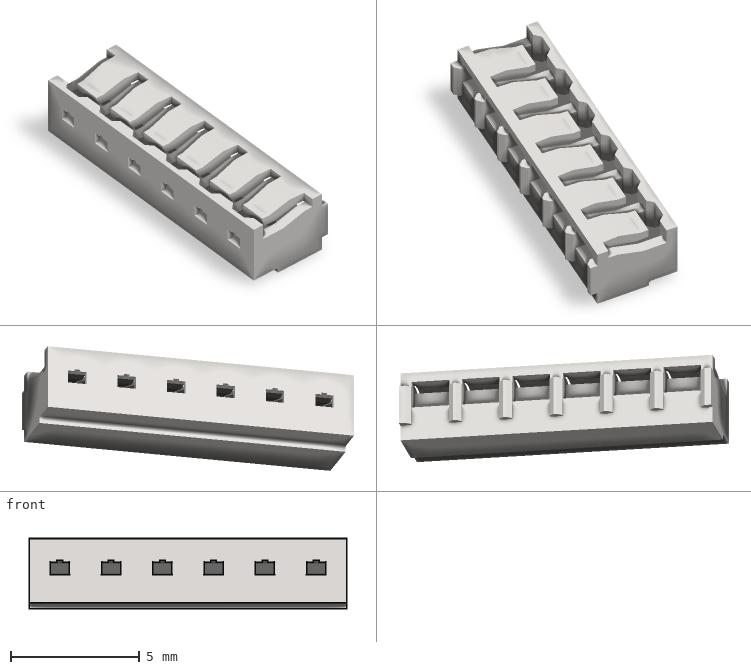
import cadquery as cq


LENGTH = 12.4
POSITIONS = 6
END_MARGIN = 0.2
PITCH = (LENGTH - 2 * END_MARGIN) / POSITIONS
RIB_WIDTH = 0.51
CAVITY_WIDTH = PITCH - RIB_WIDTH

HEIGHT = 2.75
BODY_DEPTH = 3.48
TOTAL_DEPTH = 3.8
FOOT_FRONT = 1.24
FOOT_HEIGHT = 0.24
FOOT_FILLET = 0.11

FRONT_WALL = 0.48
RECESS_BACK = 3.0
RIB_LOW = 2.06
RIB_HIGH = 2.37
RIB_SLOPE_FRONT = 1.5
RIB_SLOPE_BACK = 2.63

CAVITY_FLOOR = 1.33
BLOCK_FRONT = 1.76
BLOCK_BACK = 2.8
BLOCK_FRONT_TOP = 1.82
BLOCK_BACK_TOP = 2.11
BLOCK_FILLET = 0.04

SCALLOP_FRONT = 0.22
SCALLOP_WIDTH = 1.23
WINDOW_WIDTH = 0.75
WINDOW_HEIGHT = 0.5
NOTCH_WIDTH = 0.22
NOTCH_HEIGHT = 0.07

TONGUE_TIP = 0.97
TONGUE_TIP_TOP = 2.44
TONGUE_SLOPE_FRONT = 1.29
TONGUE_SLOPE_BACK = 2.3
TONGUE_ROOT_WIDTH = 1.38
TONGUE_TIP_WIDTH = 1.17

SEPARATOR_BOTTOM = 0.61
SEPARATOR_TOP = 2.13
SEPARATOR_CHAMFER = 0.2

position_centres = [(i - (POSITIONS - 1) / 2) * PITCH for i in range(POSITIONS)]
inner_rib_centres = [(i - POSITIONS / 2) * PITCH for i in range(1, POSITIONS)]


def side_prism(points, width, x_centre=0):
    """Extrude a (Y, Z) outline along X, symmetrically about x_centre."""
    outline = cq.Workplane("YZ", origin=(x_centre, 0, 0)).polyline(points).close()
    return outline.extrude(width / 2, both=True)


def plan_prism(points, bottom, top):
    """Extrude an (X, Y) outline between two heights."""
    return cq.Workplane("XY").workplane(offset=bottom).polyline(points).close().extrude(top - bottom)


def housing():
    outline = (
        cq.Workplane("YZ", origin=(-LENGTH / 2, 0, 0))
        .moveTo(0, FOOT_HEIGHT)
        .lineTo(FOOT_FRONT - FOOT_FILLET, FOOT_HEIGHT)
        .radiusArc((FOOT_FRONT, FOOT_HEIGHT - FOOT_FILLET), FOOT_FILLET)
        .lineTo(FOOT_FRONT, 0)
        .lineTo(BODY_DEPTH, 0)
        .lineTo(BODY_DEPTH, HEIGHT)
        .lineTo(0, HEIGHT)
        .close()
    )
    return outline.extrude(LENGTH)


def top_recess():
    points = [
        (FRONT_WALL, RIB_LOW),
        (RIB_SLOPE_FRONT, RIB_LOW),
        (RIB_SLOPE_BACK, RIB_HIGH),
        (RECESS_BACK, RIB_HIGH),
        (RECESS_BACK, HEIGHT),
        (FRONT_WALL, HEIGHT),
    ]
    return side_prism(points, LENGTH)


def separator(x):
    """Pointed rib on the back face."""
    chamfer_start = TOTAL_DEPTH - SEPARATOR_CHAMFER
    half = RIB_WIDTH / 2
    tip_half = half - SEPARATOR_CHAMFER
    points = [
        (x - half, BODY_DEPTH),
        (x - half, chamfer_start),
        (x - tip_half, TOTAL_DEPTH),
        (x + tip_half, TOTAL_DEPTH),
        (x + half, chamfer_start),
        (x + half, BODY_DEPTH),
    ]
    return plan_prism(points, SEPARATOR_BOTTOM, SEPARATOR_TOP)


def end_separator(side):
    """Half separator at one end (side is -1 or 1), square and flush on its outer face."""
    rib_x = side * (LENGTH / 2 - END_MARGIN)
    half = RIB_WIDTH / 2
    points = [
        (side * LENGTH / 2, BODY_DEPTH),
        (side * LENGTH / 2, TOTAL_DEPTH),
        (rib_x - side * (half - SEPARATOR_CHAMFER), TOTAL_DEPTH),
        (rib_x - side * half, TOTAL_DEPTH - SEPARATOR_CHAMFER),
        (rib_x - side * half, BODY_DEPTH),
    ]
    return plan_prism(points, SEPARATOR_BOTTOM, SEPARATOR_TOP)


def scallop(x):
    points = [
        (x - SCALLOP_WIDTH / 2, FRONT_WALL),
        (x - WINDOW_WIDTH / 2, SCALLOP_FRONT),
        (x + WINDOW_WIDTH / 2, SCALLOP_FRONT),
        (x + SCALLOP_WIDTH / 2, FRONT_WALL),
    ]
    return plan_prism(points, CAVITY_FLOOR, HEIGHT)


def window(x):
    """Rectangular opening through the front wall, with a small notch in its top edge."""
    top = CAVITY_FLOOR + WINDOW_HEIGHT
    points = [
        (x - WINDOW_WIDTH / 2, CAVITY_FLOOR),
        (x + WINDOW_WIDTH / 2, CAVITY_FLOOR),
        (x + WINDOW_WIDTH / 2, top),
        (x + NOTCH_WIDTH / 2, top),
        (x + NOTCH_WIDTH / 2, top + NOTCH_HEIGHT),
        (x - NOTCH_WIDTH / 2, top + NOTCH_HEIGHT),
        (x - NOTCH_WIDTH / 2, top),
        (x - WINDOW_WIDTH / 2, top),
    ]
    return cq.Workplane("XZ").polyline(points).close().extrude(-FRONT_WALL)


def contact_cavity(x):
    """Cavity under the tongue, open at the back face, less the contact block inside it."""
    side = side_prism(
        [
            (FRONT_WALL, CAVITY_FLOOR),
            (BLOCK_FRONT, CAVITY_FLOOR),
            (BLOCK_FRONT, BLOCK_FRONT_TOP),
            (BLOCK_BACK, BLOCK_BACK_TOP),
            (BLOCK_BACK, CAVITY_FLOOR),
            (BODY_DEPTH, CAVITY_FLOOR),
            (BODY_DEPTH, RIB_HIGH),
            (FRONT_WALL, RIB_HIGH),
        ],
        CAVITY_WIDTH,
        x,
    )
    block_front_edges = cq.selectors.BoxSelector(
        (x - CAVITY_WIDTH, BLOCK_FRONT - BLOCK_FILLET, CAVITY_FLOOR - BLOCK_FILLET),
        (x + CAVITY_WIDTH, BLOCK_FRONT + BLOCK_FILLET, BLOCK_FRONT_TOP + BLOCK_FILLET),
    )
    return side.edges("|X").edges(block_front_edges).fillet(BLOCK_FILLET)


def tongue(x):
    """Sloped tongue whose underside follows the rib tops, narrowing to its tip."""
    side = side_prism(
        [
            (TONGUE_TIP, RIB_LOW),
            (RIB_SLOPE_FRONT, RIB_LOW),
            (RIB_SLOPE_BACK, RIB_HIGH),
            (RECESS_BACK, RIB_HIGH),
            (RECESS_BACK, HEIGHT),
            (TONGUE_SLOPE_BACK, HEIGHT),
            (TONGUE_SLOPE_FRONT, TONGUE_TIP_TOP),
            (TONGUE_TIP, TONGUE_TIP_TOP),
        ],
        TONGUE_ROOT_WIDTH,
        x,
    )
    plan = plan_prism(
        [
            (x - TONGUE_TIP_WIDTH / 2, TONGUE_TIP),
            (x + TONGUE_TIP_WIDTH / 2, TONGUE_TIP),
            (x + TONGUE_ROOT_WIDTH / 2, RECESS_BACK),
            (x - TONGUE_ROOT_WIDTH / 2, RECESS_BACK),
        ],
        0,
        HEIGHT,
    )
    return side.intersect(plan)


result = housing()
for rib_x in inner_rib_centres:
    result = result.union(separator(rib_x))
for end_side in (-1, 1):
    result = result.union(end_separator(end_side))
result = result.cut(top_recess())
for slot_x in position_centres:
    result = result.cut(contact_cavity(slot_x)).cut(scallop(slot_x)).cut(window(slot_x))
    result = result.union(tongue(slot_x))